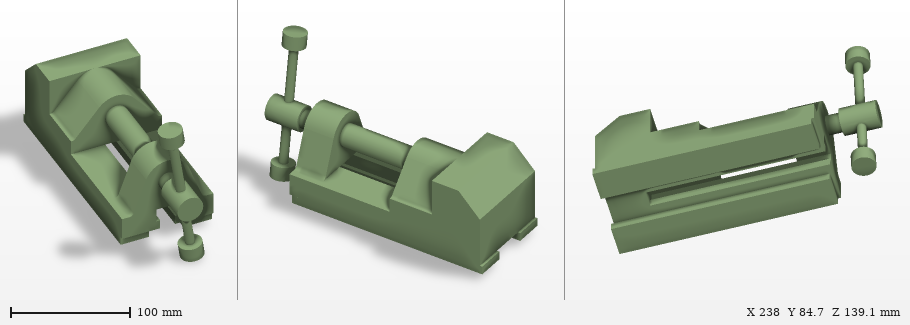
import cadquery as cq
import math


width = 84.7
base_length = 190.8
base_height = 20.7
jaw_top = 68.8
fixed_jaw_length = 34.3
fixed_jaw_chamfer = 21.5
support_length = 29.5
support_half_width = 32.5

slot_width = 21.0
slot_depth = 12.4
lower_slot_width = 13.8

foot_width = 26.5
foot_height = 7.9
foot_shift = 2.4
foot_length = 190.5

plate_thickness = 13.8
hump_length = 42.4
ledge_top = 34.3
hump_half_width = 39.5

crown_radius = 21.2
root_fillet = 4.0
axis_height = jaw_top - crown_radius

screw_diameter = 21.2
neck_diameter = 17.0
neck_length = 12.5
head_diameter = 23.8
total_length = 238.0

bar_diameter = 8.3
bar_offset = 0.5
handle_length = 137.5
handle_lean = 8.5
handle_slide = 8.5
knob_diameter = 21.2
knob_length = 13.0

hump_start = fixed_jaw_length + plate_thickness
jaw_end = hump_start + hump_length
support_start = base_length - support_length
head_start = base_length + neck_length
screw_end = total_length - foot_shift
bar_position = (head_start + screw_end) / 2 + bar_offset


def block(x_start, length, y_start, block_width, z_start, height):
    """Box given by its lowest corner and its sizes."""
    corner = (x_start, y_start, z_start)
    return cq.Workplane("XY").box(length, block_width, height, centered=False).translate(corner)


def rod(x_start, x_end, diameter):
    """Cylinder on the screw axis."""
    return (
        cq.Workplane("YZ", origin=(x_start, 0, axis_height))
        .circle(diameter / 2)
        .extrude(x_end - x_start)
    )


def crowned_block(x_start, length, bottom, half_width):
    """Block along X whose sloping sides run tangent into a round top on the screw axis."""
    drop = axis_height - bottom
    corner_distance = math.hypot(half_width, drop)
    tangent_angle = math.acos(crown_radius / corner_distance) - math.atan2(drop, half_width)
    tangent_y = crown_radius * math.cos(tangent_angle)
    tangent_z = axis_height + crown_radius * math.sin(tangent_angle)
    return (
        cq.Workplane("YZ", origin=(x_start, 0, 0))
        .moveTo(-half_width, bottom)
        .lineTo(half_width, bottom)
        .lineTo(tangent_y, tangent_z)
        .threePointArc((0, jaw_top), (-tangent_y, tangent_z))
        .close()
        .extrude(length)
    )


def fillet_roots(body, x_middle, half_width, height):
    """Round the two inner corners where a crowned block stands on a flat face."""
    for side in (-1, 1):
        root = cq.selectors.NearestToPointSelector((x_middle, side * half_width, height))
        body = body.edges(root).fillet(root_fillet)
    return body


def make_base():
    """Base with the fixed jaw, the screw support and the guide slot."""
    body = (
        cq.Workplane("XZ", origin=(0, width / 2, 0))
        .polyline([
            (0, 0),
            (base_length, 0),
            (base_length, base_height),
            (fixed_jaw_length, base_height),
            (fixed_jaw_length, jaw_top),
            (fixed_jaw_chamfer, jaw_top),
            (0, jaw_top - fixed_jaw_chamfer),
        ])
        .close()
        .extrude(width)
    )
    slot_length = base_length - fixed_jaw_length
    for slot, bottom in ((slot_width, base_height - slot_depth), (lower_slot_width, 0)):
        body = body.cut(
            block(fixed_jaw_length, slot_length, -slot / 2, slot, bottom, base_height - bottom)
        )
    body = body.union(crowned_block(support_start, support_length, base_height, support_half_width))
    support_middle = support_start + support_length / 2
    body = fillet_roots(body, support_middle, support_half_width, base_height)
    return body.cut(rod(support_start, base_length, screw_diameter))


def make_foot(side):
    """Foot strip under one long edge of the base."""
    y_middle = side * (width - foot_width) / 2
    return block(-foot_shift, foot_length, y_middle - foot_width / 2, foot_width, -foot_height, foot_height)


def make_moving_jaw():
    """L-shaped jaw with a crowned hump that holds the tip of the screw."""
    plate = block(
        fixed_jaw_length, plate_thickness, -width / 2, width, base_height, jaw_top - base_height
    )
    ledge = block(hump_start, hump_length, -width / 2, width, base_height, ledge_top - base_height)
    hump = crowned_block(hump_start, hump_length, ledge_top, hump_half_width)
    body = plate.union(ledge).union(hump)
    body = fillet_roots(body, hump_start + hump_length / 2, hump_half_width, ledge_top)
    return body.cut(rod(hump_start, jaw_end, screw_diameter))


def on_handle_axis(body):
    """Move a body built around the Z axis onto the leaning handle axis."""
    return body.rotate((0, 0, 0), (1, 0, 0), handle_lean).translate((bar_position, 0, axis_height))


def handle_cylinder(diameter, start, length):
    """Cylinder on the handle axis, with its start measured from the screw axis."""
    return on_handle_axis(
        cq.Workplane("XY", origin=(0, 0, start)).circle(diameter / 2).extrude(length)
    )


def make_bar():
    """Plain bar between the two knobs."""
    length = handle_length - 2 * knob_length
    return handle_cylinder(bar_diameter, handle_slide - length / 2, length)


def make_knob(end):
    """Knob on the upper (1) or lower (-1) end of the bar."""
    middle = handle_slide + end * (handle_length - knob_length) / 2
    return handle_cylinder(knob_diameter, middle - knob_length / 2, knob_length)


def make_screw():
    """Screw, neck and head in one piece, with a cross hole for the bar."""
    body = (
        rod(hump_start, base_length, screw_diameter)
        .union(rod(base_length, head_start, neck_diameter))
        .union(rod(head_start, screw_end, head_diameter))
    )
    return body.cut(make_bar())


base = make_base()
feet = [make_foot(side) for side in (-1, 1)]
moving_jaw = make_moving_jaw()
screw = make_screw()
bar = make_bar()
knobs = [make_knob(end) for end in (-1, 1)]

result = cq.Compound.makeCompound([
    base.val(),
    *[foot.val() for foot in feet],
    moving_jaw.val(),
    screw.val(),
    bar.val(),
    *[knob.val() for knob in knobs],
])